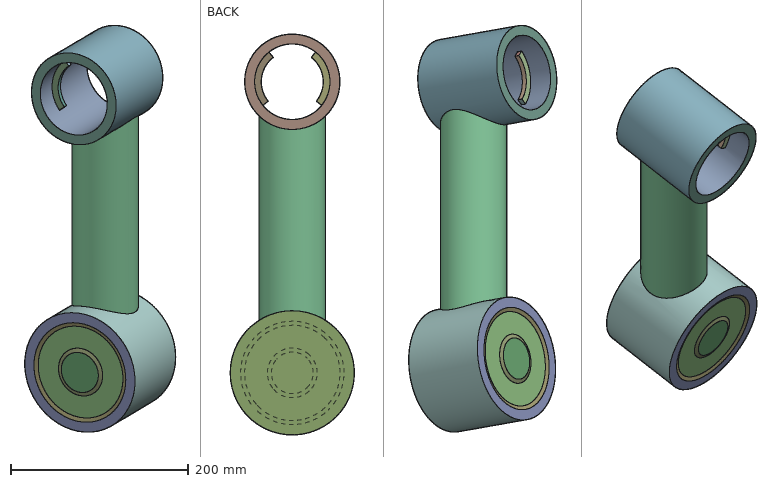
import cadquery as cq
import math

total_height = 452.7
large_radius = 70.0
large_length = 100.0
small_radius = 54.0
small_length = 115.0
bore_radius = 42.5
arm_radius = 37.5

recess_radius = 58.5
island_radius = 23.5
recess_depth = 2.0
recess_wall_run = 4.5

lug_inner_radius = 35.0
lug_thickness = 6.0
lug_setback = 29.0
lug_top_angle = 52.0
lug_bottom_angle = -39.0

axis_spacing = total_height - large_radius - small_radius


def forward_cylinder(radius, length, height):
    """Cylinder from the back plane toward -Y, with its axis at the given Z."""
    return cq.Workplane("XZ", origin=(0, 0, height)).circle(radius).extrude(length)


def annular_recess():
    """Revolved trapezoid that leaves a tapered island in the middle."""
    front = -large_length
    floor = front + recess_depth
    return (
        cq.Workplane("XY")
        .moveTo(island_radius, front)
        .lineTo(recess_radius, front)
        .lineTo(recess_radius - recess_wall_run, floor)
        .lineTo(island_radius + recess_wall_run, floor)
        .close()
        .revolve(360, (0, 0), (0, 1))
    )


def retaining_lug():
    """Lug on the +X side, embedded in the bore wall to join it."""
    outer_radius = (bore_radius + small_radius) / 2

    def polar(radius, degrees):
        angle = math.radians(degrees)
        return radius * math.cos(angle), radius * math.sin(angle)

    middle_angle = (lug_top_angle + lug_bottom_angle) / 2
    lug_front = lug_setback - small_length
    return (
        cq.Workplane("XZ", origin=(0, lug_front + lug_thickness, axis_spacing))
        .moveTo(*polar(lug_inner_radius, lug_bottom_angle))
        .lineTo(*polar(outer_radius, lug_bottom_angle))
        .threePointArc(polar(outer_radius, middle_angle), polar(outer_radius, lug_top_angle))
        .lineTo(*polar(lug_inner_radius, lug_top_angle))
        .threePointArc(polar(lug_inner_radius, middle_angle), polar(lug_inner_radius, lug_bottom_angle))
        .close()
        .extrude(lug_thickness)
    )


arm = cq.Workplane("XY", origin=(0, -arm_radius, 0)).circle(arm_radius).extrude(axis_spacing)

result = (
    forward_cylinder(large_radius, large_length, 0)
    .union(arm)
    .union(forward_cylinder(small_radius, small_length, axis_spacing))
    .cut(forward_cylinder(bore_radius, small_length, axis_spacing))
    .cut(annular_recess())
)

lug = retaining_lug()
result = result.union(lug).union(lug.mirror("YZ"))